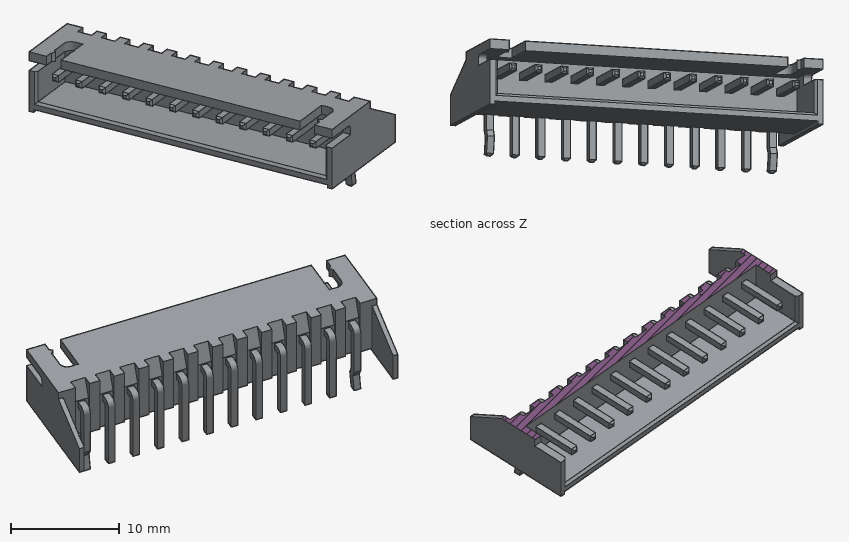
import cadquery as cq


length = 32.4
body_depth = 6.93
height = 6.1
skirt_height = 0.3
wing_thickness = 0.5
wing_depth = 11.5
wing_rear_height = 2.82
wing_shoulder_height = 5.35

end_wall = 0.8
floor_top = 1.07
roof_thickness = 0.9
cavity_depth = 5.2
mouth_chamfer = 0.243
roof_underside = height - roof_thickness

side_slot_depth = 3.35
side_slot_height = 1.0
side_slot_fillet = 0.42
side_slot_bottom = roof_underside - side_slot_height

notch_outer_offset = 1.88
notch_width = 1.55
notch_depth = 3.92
notch_radius = 0.78
bump_y = 1.15
bump_size = 0.3

pin_count = 12
pin_row_span = 27.5
pin_size = 0.68
pin_tip_y = 0.45
pin_rear_y = 7.95
pin_centre_z = 3.73
pin_bottom_z = -3.4
pin_tip_chamfer = 0.2
pin_bend_radius = 0.65
kink_start_z = -1.05
kink_peak_z = -1.65
kink_end_z = -3.18
kink_offset = 0.3

recess_width = 1.45
recess_top_y = 5.95
recess_bottom_y = 6.67
recess_slope_end_z = 4.2

pitch = pin_row_span / (pin_count - 1)
pin_positions = [i * pitch - pin_row_span / 2 for i in range(pin_count)]


def box(x_min, x_max, y_min, y_max, z_min, z_max):
    size = (x_max - x_min, y_max - y_min, z_max - z_min)
    return cq.Workplane("XY").box(*size, centered=False).translate((x_min, y_min, z_min))


def extrude_along_x(points, centre_x, width):
    """Extrude a closed (y, z) outline symmetrically about centre_x."""
    outline = cq.Workplane("YZ", origin=(centre_x, 0, 0)).polyline(points).close()
    return outline.extrude(width / 2, both=True)


def make_wing(side):
    outline = [
        (0, 0),
        (wing_depth, 0),
        (wing_depth, wing_rear_height),
        (body_depth, wing_shoulder_height),
        (body_depth, height),
        (0, height),
    ]
    return extrude_along_x(outline, side * (length - wing_thickness) / 2, wing_thickness)


def make_cavity():
    half_width = length / 2 - end_wall
    return box(-half_width, half_width, 0, cavity_depth, floor_top, roof_underside)


def make_mouth_chamfer():
    """Tapered cutter that bevels the floor and end walls at the mouth, but not the roof."""
    half_width = length / 2 - end_wall
    wide = half_width + mouth_chamfer
    low = floor_top - mouth_chamfer
    return (
        cq.Workplane("XZ")
        .polyline([(-wide, low), (wide, low), (wide, roof_underside), (-wide, roof_underside)])
        .close()
        .workplane(offset=-mouth_chamfer)
        .polyline([
            (-half_width, floor_top),
            (half_width, floor_top),
            (half_width, roof_underside),
            (-half_width, roof_underside),
        ])
        .close()
        .loft(ruled=True)
    )


def make_side_slots():
    slots = box(-length / 2, length / 2, 0, side_slot_depth, side_slot_bottom, roof_underside)
    return slots.edges("|X and >Y and >Z").fillet(side_slot_fillet)


def make_roof_notch():
    """Notch at the left end: outer rear corner rounded, outer wall carrying a small bump."""
    outer_x = -length / 2 + notch_outer_offset
    notch = box(outer_x, outer_x + notch_width, 0, notch_depth, roof_underside, height)
    notch = notch.edges("|Z and <X and >Y").fillet(notch_radius)
    bump = (
        cq.Workplane("XY", origin=(outer_x, bump_y, roof_underside))
        .polyline([(0, -bump_size), (bump_size, 0), (0, bump_size)])
        .close()
        .extrude(roof_thickness)
    )
    return notch.cut(bump)


def make_rear_recess(x):
    outline = [
        (recess_top_y, height),
        (recess_bottom_y, recess_slope_end_z),
        (recess_bottom_y, 0),
        (body_depth, 0),
        (body_depth, height),
    ]
    return extrude_along_x(outline, x, recess_width)


def make_pin(x, kinked):
    """Square pin bent down behind the housing; a kinked leg bows forward to grip the board."""
    front_y = pin_rear_y - pin_size
    top_z = pin_centre_z + pin_size / 2
    bottom_z = pin_centre_z - pin_size / 2
    kink = [(0, kink_start_z), (kink_offset, kink_peak_z), (0, kink_end_z)] if kinked else []
    rear_side = [(pin_rear_y - shift, z) for shift, z in kink]
    front_side = [(front_y - shift, z) for shift, z in reversed(kink)]
    outline = [
        (pin_tip_y, top_z),
        (pin_rear_y, top_z),
        *rear_side,
        (pin_rear_y, pin_bottom_z),
        (front_y, pin_bottom_z),
        *front_side,
        (front_y, bottom_z),
        (pin_tip_y, bottom_z),
    ]
    pin = extrude_along_x(outline, x, pin_size)
    pin = pin.faces("<Z").chamfer(pin_tip_chamfer)
    pin = pin.faces("<Y").chamfer(pin_tip_chamfer)
    return pin.edges("|X and >Z and >Y").fillet(pin_bend_radius)


housing = box(-length / 2, length / 2, 0, body_depth, skirt_height, height)
for side in (-1, 1):
    housing = housing.union(make_wing(side))

roof_notch = make_roof_notch()
housing = housing.cut(make_cavity()).cut(make_mouth_chamfer()).cut(make_side_slots())
housing = housing.cut(roof_notch).cut(roof_notch.mirror("YZ"))
for x in pin_positions:
    housing = housing.cut(make_rear_recess(x))

result = housing
for index, x in enumerate(pin_positions):
    is_end_pin = index in (0, pin_count - 1)
    result = result.union(make_pin(x, kinked=is_end_pin))